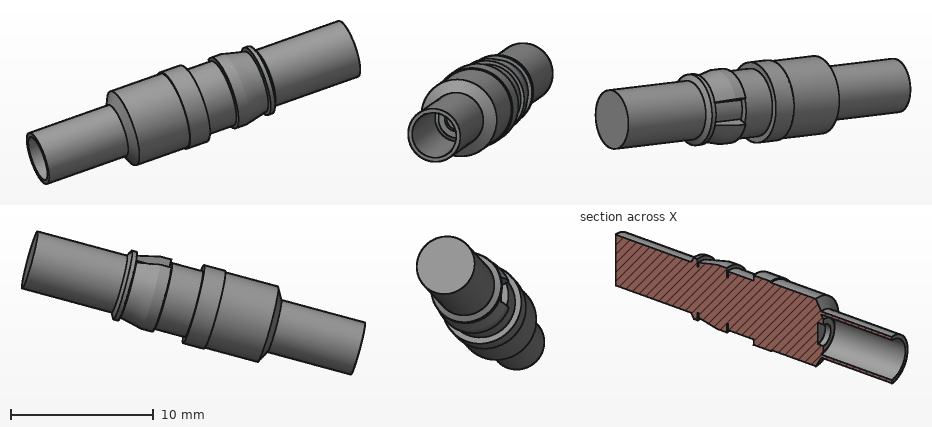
import cadquery as cq
import math

LENGTH = 23.9

crimp_tube_dia = 3.8
crimp_bore_dia = 3.2
body_dia = 5.5
flange_dia = 5.7
neck_dia = 4.8
groove_dia = 3.8
clip_dia = 5.25
clip_small_dia = 4.5
collar_dia = 5.02
mating_tube_dia = 4.15

cone_start = 6.1
body_start = 6.57
flange_start = 10.45
neck_start = 11.97
groove_start = 14.2
collar_start = 16.8
collar_chamfer_start = 17.14
mating_tube_start = 17.38

clip_gap = 0.07
clip_rim_length = 0.81
clip_slot_angle = 42.0

bore_depth = cone_start
insert_height = 0.2
insert_tip_dia = 2.6
insert_hole_dia = 1.7
insert_hole_depth = 0.48


def revolve_profile(dia_and_y):
    """Solid of revolution about Y through (diameter, y) points, closed along the axis."""
    outline = [(dia / 2, y) for dia, y in dia_and_y]
    first_y = outline[0][1]
    last_y = outline[-1][1]
    points = [(0, first_y)] + outline + [(0, last_y)]
    return cq.Workplane("XY").polyline(points).close().revolve(360, (0, 0), (0, 1))


def make_barrel():
    """Stepped outside of the contact, with an empty groove for the clip."""
    return revolve_profile([
        (crimp_tube_dia, 0),
        (crimp_tube_dia, cone_start),
        (body_dia, body_start),
        (body_dia, flange_start),
        (flange_dia, flange_start),
        (flange_dia, neck_start),
        (neck_dia, neck_start),
        (neck_dia, groove_start),
        (groove_dia, groove_start),
        (groove_dia, collar_start),
        (collar_dia, collar_start),
        (collar_dia, collar_chamfer_start),
        (mating_tube_dia, mating_tube_start),
        (mating_tube_dia, LENGTH),
    ])


def make_clip():
    """Tapered spring clip, split by a slot with radial walls on the -X side."""
    rim_start = groove_start + clip_gap
    clip_end = collar_start - clip_gap
    clip = revolve_profile([
        (clip_dia, rim_start),
        (clip_dia, rim_start + clip_rim_length),
        (clip_small_dia, clip_end),
    ])
    wedge_reach = clip_dia
    wedge_half_width = wedge_reach * math.tan(math.radians(clip_slot_angle / 2))
    slot = (
        cq.Workplane("XZ", origin=(0, groove_start, 0))
        .polyline([(0, 0), (-wedge_reach, wedge_half_width), (-wedge_reach, -wedge_half_width)])
        .close()
        .extrude(groove_start - collar_start)
    )
    return clip.cut(slot)


def make_crimp_bore():
    """Bore space left around the tapered insert, plus the blind hole in its tip."""
    bore = revolve_profile([(crimp_bore_dia, 0), (crimp_bore_dia, bore_depth)])
    tip = bore_depth - insert_height
    insert = revolve_profile([(insert_tip_dia, tip), (crimp_bore_dia, bore_depth)])
    hole = revolve_profile([(insert_hole_dia, tip), (insert_hole_dia, tip + insert_hole_depth)])
    return bore.cut(insert).union(hole)


contact = make_barrel().union(make_clip()).cut(make_crimp_bore())

result = contact.translate((0, -LENGTH / 2, 0))